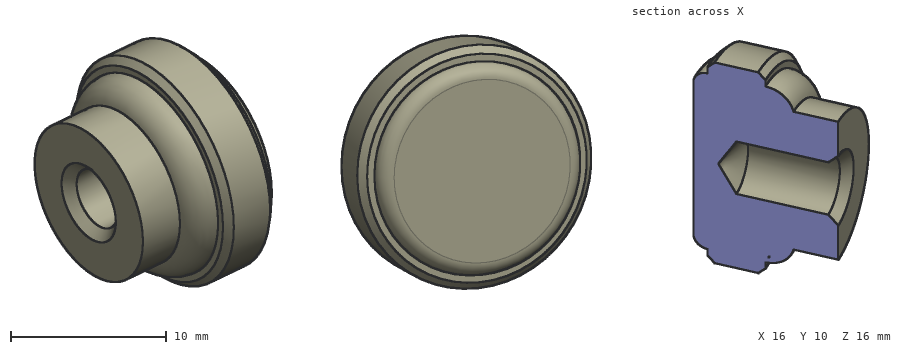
import cadquery as cq
import math

length = 10.0
rim_radius = 8.0
rim_width = 4.0
rim_chamfer = 0.5
body_radius = 7.0
front_round = 2.0
back_round = 1.0
boss_radius = 5.5
hole_radius = 2.06
hole_depth = 7.0
drill_point_angle = 118.0
countersink_radius = 2.75

rim_back = length - back_round
rim_front = rim_back - rim_width

front_arc_center = body_radius - front_round
front_arc_end = rim_front - math.sqrt(front_round**2 - (boss_radius - front_arc_center) ** 2)
front_arc_end_angle = math.acos((boss_radius - front_arc_center) / front_round)
back_arc_center = body_radius - back_round

countersink_depth = countersink_radius - hole_radius
point_depth = hole_radius / math.tan(math.radians(drill_point_angle / 2))


def arc_point(center_radius, center_y, radius, angle):
    """Point on a profile arc; the angle runs from outward toward +Y."""
    return center_radius + radius * math.cos(angle), center_y + radius * math.sin(angle)


def revolve_about_y(profile):
    return profile.close().revolve(360, (0, 0, 0), (0, 1, 0))


def make_body():
    profile = (
        cq.Workplane("XY")
        .moveTo(0, 0)
        .lineTo(boss_radius, 0)
        .lineTo(boss_radius, front_arc_end)
        .threePointArc(
            arc_point(front_arc_center, rim_front, front_round, -front_arc_end_angle / 2),
            (body_radius, rim_front),
        )
        .lineTo(rim_radius - rim_chamfer, rim_front)
        .lineTo(rim_radius, rim_front + rim_chamfer)
        .lineTo(rim_radius, rim_back - rim_chamfer)
        .lineTo(rim_radius - rim_chamfer, rim_back)
        .lineTo(body_radius, rim_back)
        .threePointArc(
            arc_point(back_arc_center, rim_back, back_round, math.pi / 4),
            (back_arc_center, length),
        )
        .lineTo(0, length)
    )
    return revolve_about_y(profile)


def make_hole():
    """Blind drilled hole with a countersunk mouth and a conical bottom."""
    profile = (
        cq.Workplane("XY")
        .moveTo(0, 0)
        .lineTo(countersink_radius, 0)
        .lineTo(hole_radius, countersink_depth)
        .lineTo(hole_radius, hole_depth)
        .lineTo(0, hole_depth + point_depth)
    )
    return revolve_about_y(profile)


result = make_body().cut(make_hole())